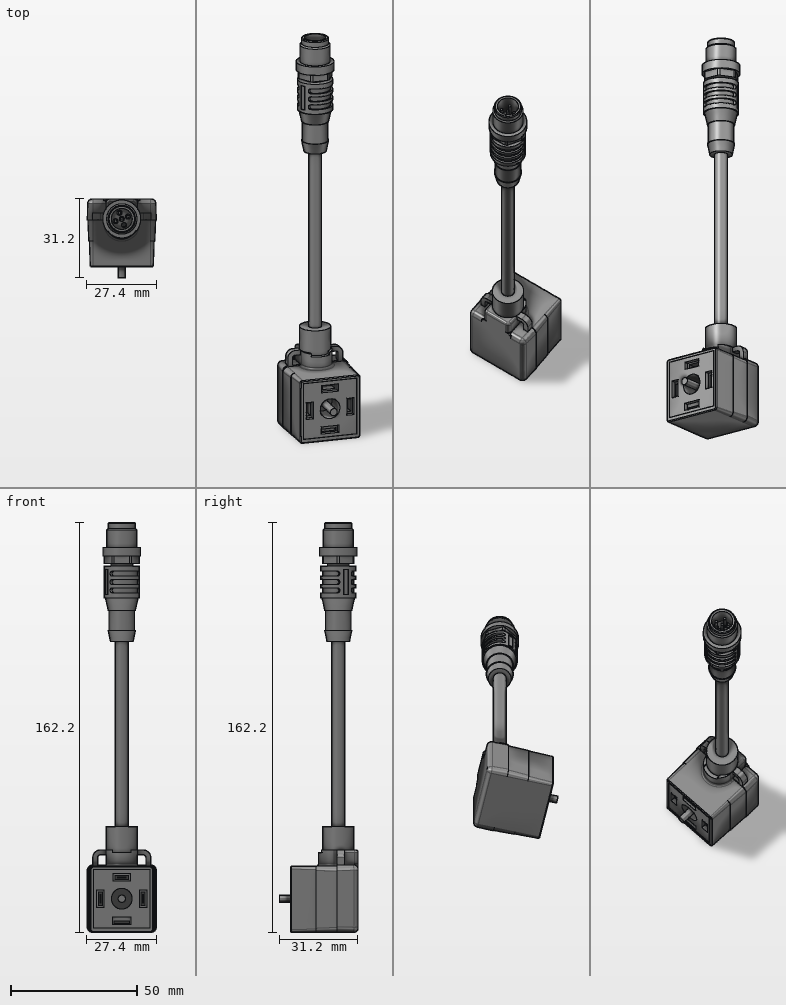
import cadquery as cq
import math


total_height = 162.19
total_depth = 31.2
overlap = 0.5

housing_height = 26.7
housing_mid_z = housing_height / 2
housing_back_y = 7.9
split_y = -0.4
step_y = -8.8
face_y = -18.95
corner_inset_x = 11.45
cover_back_half_width = 13.45
cover_half_width = 13.7
rear_half_widths = (13.45, 13.1)
front_half_widths = (12.85, 12.5)
body_height = 26.2
cover_edge_radius = 1.8
face_chamfer = 0.4
face_panel_width = 22.2
face_panel_height = 23.2
face_panel_depth = 0.2

screw_hole_diameter = 8.2
screw_hole_depth = 10.0
screw_diameter = 2.9
screw_tip_y = housing_back_y - total_depth
contact_offset = 8.45
contact_long = 7.0
contact_short = 3.0
contact_depth = 2.0
contact_slot_long = 5.2
contact_slot_short = 1.6
contact_slot_depth = 6.0
contact_slit_long = 3.2
contact_slit_short = 0.4
contact_slit_depth = 7.0
ground_offset = 8.75
ground_long = 7.2
ground_slot_offset = 9.3
ground_slot_long = 6.2
ground_slot_short = 1.0

saddle_top_z = 32.65
outlet_top_z = 41.9
outlet_diameter = 12.4
saddle_diameter = 12.4
saddle_center_y = -1.7
saddle_notch_width = 7.4
saddle_notch_depth = 1.1
saddle_base_radius = 0.9
saddle_plinth_margin = 0.05
saddle_root_depth = 1.7
saddle_top_edge_radius = 1.0
saddle_back_corner_radius = 1.5
bail_width = 23.0
bail_thickness = 2.0
bail_outer_radius = 3.0
bail_back_y = 2.4

cable_diameter = 5.2

plug_bottom_z = 115.0
tail_bottom_diameter = 9.0
tail_flange_diameter = 10.8
tail_flange_z = 119.4
sleeve_diameter = 10.2
sleeve_top_z = 127.4
shoulder_diameter = 10.8
shoulder_top_diameter = 13.0
grip_bottom_z = 132.3
grip_diameter = 14.0
grip_top_z = 144.9
neck_diameter = 8.7
hex_bottom_z = 145.9
hex_across_flats = 12.5
hex_corner_diameter = 13.9
ring_bottom_z = 148.8
ring_top_z = 152.3
ring_diameter = 15.0
thread_diameter = 12.0
thread_top_z = 159.2
nose_diameter = 10.8
nose_chamfer = 0.4
socket_diameter = 8.3
socket_depth = 9.0
pin_diameter = 1.0
pin_length = 6.0
pin_circle_radius = 2.6
pin_angles = (20, 110, 200, 290)
pin_collar_diameter = 2.0
pin_collar_height = 0.5

panel_angle = 207
panel_half_width = 3.6
groove_floor_diameter = 12.4
groove_width = 2.0
groove_pitch = 3.3
groove_mid_z = 138.6
panel_recess_width = 2.0
panel_recess_height = 9.8
panel_recess_depth = 0.3


def cylinder(diameter, bottom_z, top_z):
    return cq.Workplane("XY", origin=(0, 0, bottom_z)).circle(diameter / 2).extrude(top_z - bottom_z)


def face_plane(y):
    """Plane facing -Y, with its origin on the screw axis."""
    return cq.Workplane("XZ", origin=(0, y, housing_mid_z))


def tapered_block(back_y, front_y, half_widths, height):
    """Rounded rectangle drawn along -Y between two half widths, given back first."""

    def rounded_section(half_width):
        return (
            cq.Sketch()
            .rect(2 * half_width, height)
            .vertices()
            .fillet(half_width - corner_inset_x)
        )

    back = rounded_section(half_widths[0])
    front = rounded_section(half_widths[1]).moved(
        cq.Location(cq.Vector(0, 0, back_y - front_y))
    )
    plane = cq.Workplane("XZ", origin=(0, back_y, height / 2))
    return plane.placeSketch(back, front).loft()


def make_housing():
    cover = tapered_block(
        housing_back_y,
        split_y,
        (cover_back_half_width, cover_half_width),
        housing_height,
    )
    cover = cover.faces(">Y").edges().fillet(cover_edge_radius)
    rear = tapered_block(split_y, step_y, rear_half_widths, body_height)
    front = tapered_block(step_y, face_y, front_half_widths, body_height)
    front = front.faces("<Y").edges().chamfer(face_chamfer)
    panel = face_plane(face_y).rect(face_panel_width, face_panel_height).extrude(-face_panel_depth)
    return cover.union(rear).union(front).cut(panel)


def cut_contact(body, angle):
    """Pocket, blade slot and slit, one inside the other, at an angle around the screw axis."""
    steps = (
        (contact_long, contact_short, contact_depth),
        (contact_slot_long, contact_slot_short, contact_slot_depth),
        (contact_slit_long, contact_slit_short, contact_slit_depth),
    )
    for width, height, depth in steps:
        cutter = face_plane(face_y).center(0, contact_offset).rect(width, height).extrude(-depth)
        body = body.cut(
            cutter.rotate((0, 0, housing_mid_z), (0, 1, housing_mid_z), angle)
        )
    return body


def cut_ground_contact(body):
    """Lowest pocket, with its wide slot set toward the outer edge."""
    pocket = face_plane(face_y).center(0, -ground_offset).rect(ground_long, contact_short)
    slot = face_plane(face_y).center(0, -ground_slot_offset).rect(ground_slot_long, ground_slot_short)
    return body.cut(pocket.extrude(-contact_depth)).cut(slot.extrude(-contact_slot_depth))


def cut_socket_face(body):
    for angle in (-90, 0, 90):
        body = cut_contact(body, angle)
    body = cut_ground_contact(body)
    hole = face_plane(face_y).circle(screw_hole_diameter / 2).extrude(-screw_hole_depth)
    screw_length = face_y + screw_hole_depth + overlap - screw_tip_y
    screw = face_plane(screw_tip_y).circle(screw_diameter / 2).extrude(-screw_length)
    return body.cut(hole).union(screw)


def make_saddle():
    """U-shaped seat under the outlet, flaring into the housing top."""
    radius = saddle_diameter / 2
    base_z = body_height
    seat = (
        cq.Workplane("XY", origin=(0, 0, base_z))
        .moveTo(-radius, housing_back_y)
        .lineTo(-radius, saddle_center_y)
        .threePointArc((0, saddle_center_y - radius), (radius, saddle_center_y))
        .lineTo(radius, housing_back_y)
        .close()
        .extrude(saddle_top_z - base_z)
    )

    plinth_reach = radius + saddle_base_radius + saddle_plinth_margin
    plinth_front_y = saddle_center_y - plinth_reach
    plinth = cq.Workplane("XY", origin=(0, plinth_front_y, base_z - saddle_root_depth)).box(
        2 * plinth_reach,
        housing_back_y - plinth_front_y,
        saddle_root_depth,
        centered=(True, False, False),
    )
    margin = saddle_plinth_margin
    foot_edges = cq.selectors.BoxSelector(
        (-radius - margin, plinth_front_y + saddle_base_radius, base_z - margin),
        (radius + margin, housing_back_y - saddle_base_radius, base_z + margin),
    )
    seat = seat.union(plinth).edges(foot_edges).fillet(saddle_base_radius)

    back_length = housing_back_y - bail_back_y
    flare_top_z = base_z + saddle_base_radius
    back_block = cq.Workplane("XY", origin=(0, bail_back_y, flare_top_z)).box(
        saddle_diameter, back_length, saddle_top_z - flare_top_z, centered=(True, False, False)
    )
    rounded_block = back_block.edges("|Z and >Y").fillet(saddle_back_corner_radius)
    rounded_block = rounded_block.faces(">Z").edges("not <Y").fillet(saddle_top_edge_radius)
    notch = cq.Workplane("XY", origin=(0, saddle_center_y - radius, saddle_top_z - saddle_notch_depth)).box(
        saddle_notch_width, radius, saddle_notch_depth, centered=(True, False, False)
    )
    return seat.cut(back_block.cut(rounded_block)).cut(notch)


def make_bail():
    """Flat strap arching over the housing top on both sides of the outlet."""
    root_z = housing_height - overlap
    height = saddle_top_z - root_z
    inner_width = bail_width - 2 * bail_thickness
    inner_radius = bail_outer_radius - bail_thickness

    def arch(width, arch_height, radius):
        return (
            cq.Workplane("XY", origin=(0, split_y, root_z))
            .box(width, bail_back_y - split_y, arch_height, centered=(True, False, False))
            .faces(">Z")
            .edges("|Y")
            .fillet(radius)
        )

    return arch(bail_width, height, bail_outer_radius).cut(
        arch(inner_width, height - bail_thickness, inner_radius)
    )


def make_plug_body():
    """Turned outline of the plug, from the cable entry to the nose."""
    outline = [
        (tail_bottom_diameter, plug_bottom_z),
        (tail_flange_diameter, tail_flange_z),
        (sleeve_diameter, tail_flange_z),
        (sleeve_diameter, sleeve_top_z),
        (shoulder_diameter, sleeve_top_z),
        (shoulder_top_diameter, grip_bottom_z),
        (grip_diameter, grip_bottom_z),
        (grip_diameter, grip_top_z),
        (neck_diameter, grip_top_z),
        (neck_diameter, ring_bottom_z),
        (ring_diameter, ring_bottom_z),
        (ring_diameter, ring_top_z),
        (thread_diameter, ring_top_z),
        (thread_diameter, thread_top_z),
        (nose_diameter, thread_top_z + (thread_diameter - nose_diameter) / 2),
        (nose_diameter, total_height - nose_chamfer),
        (nose_diameter - 2 * nose_chamfer, total_height),
    ]
    points = [(0, plug_bottom_z)]
    points += [(diameter / 2, z) for diameter, z in outline]
    points.append((0, total_height))
    body = cq.Workplane("XZ").polyline(points).close().revolve(360, (0, 0, 0), (0, 1, 0))
    hexagon = (
        cq.Workplane("XY", origin=(0, 0, hex_bottom_z))
        .polygon(6, hex_across_flats / math.cos(math.pi / 6))
        .extrude(ring_bottom_z - hex_bottom_z)
        .intersect(cylinder(hex_corner_diameter, hex_bottom_z, ring_bottom_z))
    )
    return body.union(hexagon)


def make_groove(mid_z):
    """Annular groove, interrupted at two opposite panels with rounded ends."""
    bottom_z = mid_z - groove_width / 2
    top_z = mid_z + groove_width / 2
    band = cylinder(grip_diameter + overlap, bottom_z, top_z).cut(
        cylinder(groove_floor_diameter, bottom_z, top_z)
    )
    smooth_panels = cq.Workplane("XY", origin=(0, 0, mid_z)).box(
        2 * grip_diameter, 2 * panel_half_width, groove_width
    )
    groove_ends = (
        cq.Workplane("YZ", origin=(-grip_diameter, 0, mid_z))
        .pushPoints([(-panel_half_width, 0), (panel_half_width, 0)])
        .circle(groove_width / 2)
        .extrude(2 * grip_diameter)
        .intersect(band)
    )
    groove = band.cut(smooth_panels).union(groove_ends)
    return groove.rotate((0, 0, 0), (0, 0, 1), panel_angle)


def cut_grip(plug):
    for step in (-1, 0, 1):
        plug = plug.cut(make_groove(groove_mid_z + step * groove_pitch))
    for angle in (panel_angle, panel_angle + 180):
        recess = (
            cq.Workplane("YZ", origin=(grip_diameter / 2 - panel_recess_depth, 0, groove_mid_z))
            .rect(panel_recess_width, panel_recess_height)
            .extrude(grip_diameter)
            .rotate((0, 0, 0), (0, 0, 1), angle)
        )
        plug = plug.cut(recess)
    return plug


def cut_pin_socket(plug):
    floor_z = total_height - socket_depth
    plug = plug.cut(cylinder(socket_diameter, floor_z, total_height))
    pin_centers = [(0, 0)]
    for angle in pin_angles:
        direction = math.radians(angle)
        x = pin_circle_radius * math.cos(direction)
        y = pin_circle_radius * math.sin(direction)
        pin_centers.append((x, y))
    for diameter, height in (
        (pin_diameter, pin_length),
        (pin_collar_diameter, pin_collar_height),
    ):
        for x, y in pin_centers:
            post = cylinder(diameter, floor_z - overlap, floor_z + height).translate((x, y, 0))
            plug = plug.union(post)
    return plug


housing = cut_socket_face(make_housing())
outlet = cylinder(outlet_diameter, housing_height - overlap, outlet_top_z)
cable = cylinder(cable_diameter, outlet_top_z - overlap, plug_bottom_z + overlap)
plug = cut_pin_socket(cut_grip(make_plug_body()))

result = housing.union(make_saddle()).union(make_bail()).union(outlet).union(cable).union(plug)